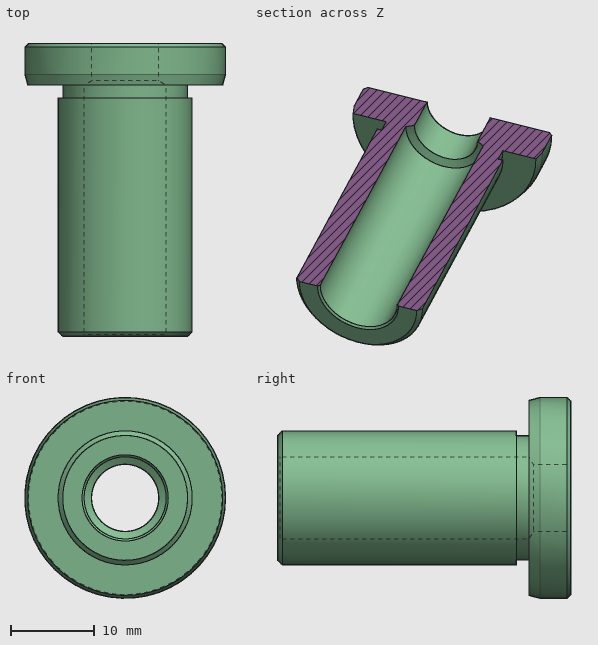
import cadquery as cq
import math


flange_radius = 24.0 / 2
flange_thickness = 5.0
flange_back_chamfer = 0.45
flange_lead_length = 1.3
flange_lead_angle = 15.0

shank_radius = 16.02 / 2
shank_length = 30.0
shank_end_chamfer = 0.55
relief_radius = 14.9 / 2
relief_width = 1.5

wide_bore_radius = 9.8 / 2
narrow_bore_radius = 8.0 / 2
bore_mouth_chamfer = 0.25
bore_step_angle = 118.0
wide_bore_end = 0.0


def revolve_about_y(profile):
    """Turn a closed (radius, y) outline fully about the Y axis."""
    return cq.Workplane("XY").polyline(profile).close().revolve(360, (0, 0, 0), (0, 1, 0))


def make_body():
    """Solid flange and shank, with the relief groove and edge chamfers."""
    lead_depth = flange_lead_length * math.tan(math.radians(flange_lead_angle))
    return revolve_about_y([
        (0, -shank_length),
        (shank_radius - shank_end_chamfer, -shank_length),
        (shank_radius, -shank_length + shank_end_chamfer),
        (shank_radius, -relief_width),
        (relief_radius, -relief_width),
        (relief_radius, 0),
        (flange_radius - lead_depth, 0),
        (flange_radius, flange_lead_length),
        (flange_radius, flange_thickness - flange_back_chamfer),
        (flange_radius - flange_back_chamfer, flange_thickness),
        (0, flange_thickness),
    ])


def make_bore():
    """Volume removed by the stepped bore and its chamfered mouth."""
    step_height = wide_bore_radius - narrow_bore_radius
    cone_length = step_height / math.tan(math.radians(bore_step_angle / 2))
    return revolve_about_y([
        (0, -shank_length),
        (wide_bore_radius + bore_mouth_chamfer, -shank_length),
        (wide_bore_radius, -shank_length + bore_mouth_chamfer),
        (wide_bore_radius, wide_bore_end),
        (narrow_bore_radius, wide_bore_end + cone_length),
        (narrow_bore_radius, flange_thickness),
        (0, flange_thickness),
    ])


result = make_body().cut(make_bore())